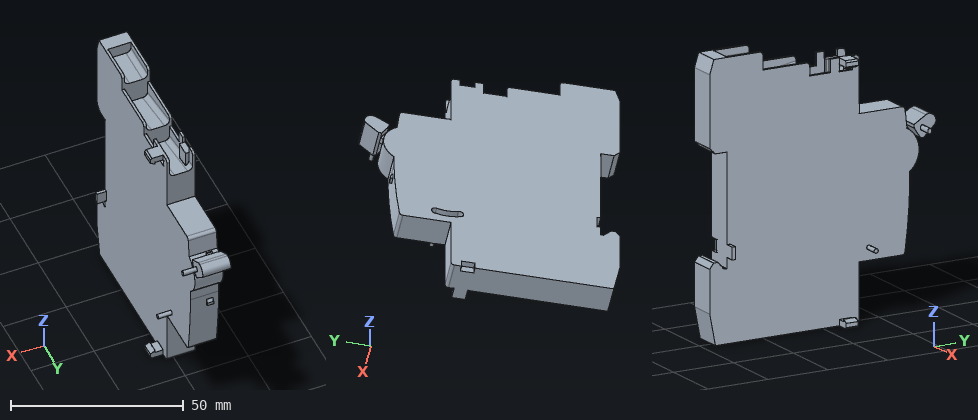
import cadquery as cq
import math


HEIGHT = 86.5
THICKNESS = 9.0
CORNER_RADIUS = 1.0

SHOULDER_FRONT = 50.0
NOSE_FRONT = 65.1
NOSE_BOTTOM = 18.3
NOSE_TOP = 63.15
BELLY_FRONT = 66.9
BELLY_BULGE = (65.9, 24.6)
BELLY_FLAT_Z = 39.8

UPPER_STEP = 17.8
LOWER_STEP = 33.5
TERRACE_Z = 81.0
SADDLE_FRONT = 40.3
SADDLE_Z = 76.9

RAIL_FACE = 5.7
RAIL_BOTTOM = 22.75
RAIL_TOP = 57.95
RAIL_LIP_Z = 25.1
RAIL_LIP_Y = (1.3, 2.7)
RAIL_LIP_FOOT = 4.9
RAIL_LIP_SHOULDER = 23.35
UPPER_RAIL_CHAMFER = 1.8

TOP_BEVEL = (1.4, 4.4)
BOTTOM_BEVEL = (1.9, 9.9)

DOME_RADIUS = 7.9
DOME_Y = 62.1
DOME_Z = 49.5
DOME_TOP_Y = 65.9

LEVER_BASE_TOP = (68.3, 56.05)
LEVER_HEEL = (68.2, 57.2)
LEVER_BACK = (72.2, 59.6)
LEVER_CROWN = (73.35, 59.9)
LEVER_TIP = (75.4, 56.5)
LEVER_TOE = (71.4, 52.7)
LEVER_BASE_BOTTOM = (70.4, 52.85)
CROWN_BULGE = (72.75, 59.8)
TIP_BULGE = (75.3, 58.6)
NECK_ROOT_BOTTOM = (67.8, 51.0)
NECK_ROOT_TOP = (65.8, 54.15)
NECK_X = 1.9
NECK_WIDTH = 2.0
SLOT_REAR = 66.3
SLOT_BOTTOM = 52.8
SLOT_DEPTH = 0.3

WEDGE_REACH = 0.6
WEDGE_ROOT = 0.9
WEDGE_BOTTOM = 35.9
WEDGE_SHOULDER = 36.85
WEDGE_TOP = 37.9

WALL = 0.9
TROUGH_RADIUS = 1.6
TROUGH_REAR = 6.0
FRONT_FLOOR = (74.2, 71.6)
MIDDLE_FLOOR = (77.85, 75.25)
REAR_FLOOR = 82.7

HOOK_REAR = 43.25
HOOK_WIDTH = 4.1
HOOK_REACH = 4.1
HOOK_THICK = 2.0
HOOK_CHAMFER = 0.5
BARB_START = 2.5
BARB_DROP = 0.7
BARB_NOSE = 1.8
HOOK_ROOT = 0.9

NOTCH_REAR = 42.9
UPPER_NOTCH_FRONT = 47.3
LOWER_NOTCH_FRONT = 46.9
NOTCH_DEPTH = 2.2
NOTCH_X = 1.9
WINDOW_BOTTOM = 76.7
WINDOW_Y = (43.25, 47.7)
LEDGE_BOTTOM = 71.8

TAB_LENGTH = 3.0
TAB_DEPTH = 1.1
TAB_Z = (26.1, 30.0)

PIN_REACH = 4.3
TRIP_PIN = (53.1, 22.3)
TRIP_PIN_RADIUS = 0.7
LEVER_PIN = (71.0, 55.9)
LEVER_PIN_RADII = (0.7, 0.9)
CURVE_Y = 51.0
CURVE_Z = 33.6
CURVE_RADIUS = 11.6
CURVE_WIDTH = 2.25
CURVE_HALF_ANGLE = 18.0
CURVE_DEPTH = 4.5


def side_sketch():
    """Workplane whose local axes are Y and Z; extrudes along +X."""
    return cq.Workplane("YZ")


def block(x, y, z):
    """Box given by its (low, high) limits on each axis."""
    size = (x[1] - x[0], y[1] - y[0], z[1] - z[0])
    return cq.Workplane("XY").box(*size, centered=False).translate((x[0], y[0], z[0]))


def housing():
    dome_drop = math.sqrt(DOME_RADIUS**2 - (BELLY_FRONT - DOME_Y) ** 2)
    dome_rise = math.sqrt(DOME_RADIUS**2 - (DOME_TOP_Y - DOME_Y) ** 2)
    body = (
        side_sketch()
        .moveTo(BOTTOM_BEVEL[0], 0)
        .lineTo(SHOULDER_FRONT, 0)
        .lineTo(SHOULDER_FRONT, NOSE_BOTTOM)
        .lineTo(NOSE_FRONT, NOSE_BOTTOM)
        .threePointArc(BELLY_BULGE, (BELLY_FRONT, BELLY_FLAT_Z))
        .lineTo(BELLY_FRONT, DOME_Z - dome_drop)
        .threePointArc((DOME_Y + DOME_RADIUS, DOME_Z), (DOME_TOP_Y, DOME_Z + dome_rise))
        .lineTo(NOSE_FRONT, NOSE_TOP)
        .lineTo(SHOULDER_FRONT, NOSE_TOP)
        .lineTo(SHOULDER_FRONT, TERRACE_Z)
        .lineTo(SADDLE_FRONT, TERRACE_Z)
        .lineTo(SADDLE_FRONT, SADDLE_Z)
        .lineTo(LOWER_STEP, SADDLE_Z)
        .lineTo(LOWER_STEP, TERRACE_Z)
        .lineTo(UPPER_STEP, TERRACE_Z)
        .lineTo(UPPER_STEP, HEIGHT)
        .lineTo(TOP_BEVEL[0], HEIGHT)
        .lineTo(0, HEIGHT - TOP_BEVEL[1])
        .lineTo(0, RAIL_TOP + UPPER_RAIL_CHAMFER)
        .lineTo(UPPER_RAIL_CHAMFER, RAIL_TOP)
        .lineTo(RAIL_FACE, RAIL_TOP)
        .lineTo(RAIL_FACE, RAIL_BOTTOM)
        .lineTo(RAIL_LIP_FOOT, RAIL_BOTTOM)
        .lineTo(RAIL_LIP_Y[1], RAIL_LIP_Z)
        .lineTo(RAIL_LIP_Y[0], RAIL_LIP_Z)
        .lineTo(0, RAIL_LIP_SHOULDER)
        .lineTo(0, BOTTOM_BEVEL[1])
        .close()
        .extrude(THICKNESS)
    )
    rounded_corners = [
        (SHOULDER_FRONT, 0),
        (NOSE_FRONT, NOSE_BOTTOM),
        (NOSE_FRONT, NOSE_TOP),
        (SHOULDER_FRONT, TERRACE_Z),
        (LOWER_STEP, TERRACE_Z),
        (UPPER_STEP, HEIGHT),
    ]
    for y, z in rounded_corners:
        corner = cq.selectors.NearestToPointSelector((THICKNESS / 2, y, z))
        body = body.edges("|X").edges(corner).fillet(CORNER_RADIUS)
    return body


def trough_section(y_front, z_front, y_rear, z_rear):
    """Round-bottomed trough cutter whose floor runs straight between two heights."""
    above_top = HEIGHT + 0.9
    cutter = (
        side_sketch()
        .moveTo(y_rear, z_rear)
        .lineTo(y_front, z_front)
        .lineTo(y_front, above_top)
        .lineTo(y_rear, above_top)
        .close()
        .extrude(THICKNESS - 2 * WALL)
        .translate((WALL, 0, 0))
    )
    middle = (THICKNESS / 2, (y_front + y_rear) / 2, (z_front + z_rear) / 2)
    floor = cutter.faces(cq.selectors.NearestToPointSelector(middle))
    lengthwise = floor.edges("not |X").vals()
    return cutter.newObject(lengthwise).fillet(TROUGH_RADIUS)


def lever_slot():
    """Shallow groove round the crown of the dome, in line with the lever neck."""
    ring = side_sketch().center(DOME_Y, DOME_Z).circle(DOME_RADIUS + 0.9).circle(DOME_RADIUS - SLOT_DEPTH)
    ring = ring.extrude(NECK_WIDTH).translate((NECK_X, 0, 0))
    crown = block((0, THICKNESS), (SLOT_REAR, DOME_Y + DOME_RADIUS), (SLOT_BOTTOM, NOSE_TOP))
    return ring.intersect(crown)


def lever():
    handle = (
        side_sketch()
        .moveTo(*LEVER_BASE_TOP)
        .lineTo(*LEVER_HEEL)
        .lineTo(*LEVER_BACK)
        .threePointArc(CROWN_BULGE, LEVER_CROWN)
        .threePointArc(TIP_BULGE, LEVER_TIP)
        .lineTo(*LEVER_TOE)
        .lineTo(*LEVER_BASE_BOTTOM)
        .close()
        .extrude(THICKNESS)
    )
    neck = (
        side_sketch()
        .polyline([LEVER_BASE_TOP, LEVER_BASE_BOTTOM, NECK_ROOT_BOTTOM, NECK_ROOT_TOP])
        .close()
        .extrude(NECK_WIDTH)
        .translate((NECK_X, 0, 0))
    )
    return handle.union(neck)


def wedge():
    outline = [
        (BELLY_FRONT - WEDGE_ROOT, WEDGE_BOTTOM),
        (BELLY_FRONT + WEDGE_REACH, WEDGE_BOTTOM),
        (BELLY_FRONT + WEDGE_REACH, WEDGE_SHOULDER),
        (BELLY_FRONT, WEDGE_TOP),
        (BELLY_FRONT - WEDGE_ROOT, WEDGE_TOP),
    ]
    return side_sketch().polyline(outline).close().extrude(NECK_WIDTH).translate((NECK_X, 0, 0))


def hook():
    """Snap hook with its flat top at Z = 0 and its barb pointing down."""
    outline = [
        (-HOOK_ROOT, 0),
        (HOOK_REACH - HOOK_CHAMFER, 0),
        (HOOK_REACH, -HOOK_CHAMFER),
        (HOOK_REACH, -BARB_NOSE),
        (BARB_START, -HOOK_THICK - BARB_DROP),
        (BARB_START, -HOOK_THICK),
        (-HOOK_ROOT, -HOOK_THICK),
    ]
    bar = cq.Workplane("XZ").polyline(outline).close().extrude(-HOOK_WIDTH)
    return bar.translate((THICKNESS, HOOK_REAR, 0))


def curved_slot():
    """Blind curved slot in the -X face, sagging about a centre above it."""

    def on_arc(radius, degrees):
        angle = math.radians(degrees)
        return (CURVE_Y + radius * math.sin(angle), CURVE_Z - radius * math.cos(angle))

    inner = CURVE_RADIUS - CURVE_WIDTH / 2
    outer = CURVE_RADIUS + CURVE_WIDTH / 2
    end = CURVE_HALF_ANGLE
    cap = end + math.degrees(CURVE_WIDTH / 2 / CURVE_RADIUS)
    return (
        side_sketch()
        .moveTo(*on_arc(inner, -end))
        .threePointArc(on_arc(inner, 0), on_arc(inner, end))
        .threePointArc(on_arc(CURVE_RADIUS, cap), on_arc(outer, end))
        .threePointArc(on_arc(outer, 0), on_arc(outer, -end))
        .threePointArc(on_arc(CURVE_RADIUS, -cap), on_arc(inner, -end))
        .close()
        .extrude(CURVE_DEPTH)
    )


def coupling_pins():
    """Pins standing out of the +X side: a round one and an oval one on the lever."""
    trip = side_sketch().center(*TRIP_PIN).circle(TRIP_PIN_RADIUS)
    oval = side_sketch().center(*LEVER_PIN).ellipse(*LEVER_PIN_RADII)
    pins = trip.extrude(PIN_REACH).union(oval.extrude(PIN_REACH))
    return pins.translate((THICKNESS, 0, 0))


result = housing()

result = result.cut(trough_section(SHOULDER_FRONT, FRONT_FLOOR[0], LOWER_STEP, FRONT_FLOOR[1]))
result = result.cut(trough_section(LOWER_STEP, MIDDLE_FLOOR[0], UPPER_STEP, MIDDLE_FLOOR[1]))
result = result.cut(trough_section(UPPER_STEP, REAR_FLOOR, TROUGH_REAR, REAR_FLOOR))

result = result.cut(lever_slot()).union(lever()).union(wedge())

notch_floor = TERRACE_Z - NOTCH_DEPTH
upper_notch_y = (NOTCH_REAR, UPPER_NOTCH_FRONT)
result = result.union(block((0, NOTCH_X), upper_notch_y, (LEDGE_BOTTOM, notch_floor)))
result = result.cut(block((0, NOTCH_X), upper_notch_y, (notch_floor, TERRACE_Z)))
window_z = (WINDOW_BOTTOM, TERRACE_Z - HOOK_THICK)
result = result.cut(block((THICKNESS - WALL, THICKNESS), WINDOW_Y, window_z))
result = result.union(hook().translate((0, 0, TERRACE_Z)))

result = result.cut(block((0, NOTCH_X), (NOTCH_REAR, LOWER_NOTCH_FRONT), (0, NOTCH_DEPTH)))
result = result.union(hook().mirror("XY"))

tab_y = (RAIL_FACE, RAIL_FACE + TAB_DEPTH)
result = result.cut(block((0, TAB_LENGTH), tab_y, TAB_Z))
result = result.union(block((THICKNESS, THICKNESS + TAB_LENGTH), tab_y, TAB_Z))

result = result.cut(curved_slot()).union(coupling_pins())